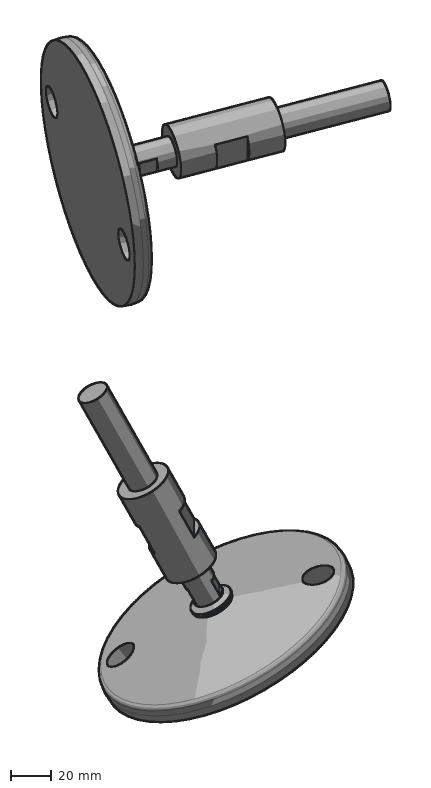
import cadquery as cq
import math

TOTAL_LENGTH = 158.0

PLATE_DIAMETER = 138.0
RIM_TAPER = 0.3
WIDEST_HEIGHT = 4.5
RIM_HEIGHT = 7.5
SHOULDER_RADIUS = 2.4
CONE_TOP_RADIUS = 10.7
PLATE_HEIGHT = 19.1
CONE_ANGLE = 9.5

HOLE_DIAMETER = 16.5
HOLE_OFFSET = 52.8

ROD_DIAMETER = 16.0
ROD_FLAT_WIDTH = 13.0
ROD_FLAT_START = 24.8
ROD_FLAT_LENGTH = 9.5
COLLAR_RADIUS = 11.2
COLLAR_EDGE_HEIGHT = 1.3
COLLAR_BAND_HEIGHT = 1.5
COLLAR_HEIGHT = 4.7

SLEEVE_DIAMETER = 28.0
SLEEVE_START = 44.5
SLEEVE_LENGTH = 55.3
SLEEVE_FLAT_WIDTH = 22.0
SLEEVE_FLAT_LENGTH = 17.0


def cylinder_y(diameter, start, length):
    """Cylinder on the Y axis, running toward +Y from start."""
    return cq.Workplane("XZ", origin=(0, start, 0)).circle(diameter / 2).extrude(-length)


def cut_flats(body, diameter, width, start, length):
    """Cut two opposite wrench flats facing -X and +X."""
    for side in (-1, 1):
        cutter = cq.Workplane("XY").box(diameter, length, 2 * diameter)
        body = body.cut(cutter.translate((side * (width + diameter) / 2, start + length / 2, 0)))
    return body


def make_plate_disc():
    """Revolve the tapered rim, rounded shoulder and cone."""
    slope = math.radians(CONE_ANGLE)
    widest_radius = PLATE_DIAMETER / 2
    rim_radius = widest_radius - RIM_TAPER
    center_radius = rim_radius - SHOULDER_RADIUS
    middle = (math.pi / 2 - slope) / 2

    def shoulder_point(angle):
        return (
            center_radius + SHOULDER_RADIUS * math.cos(angle),
            RIM_HEIGHT + SHOULDER_RADIUS * math.sin(angle),
        )

    return (
        cq.Workplane("XY")
        .lineTo(rim_radius, 0)
        .lineTo(widest_radius, WIDEST_HEIGHT)
        .lineTo(rim_radius, RIM_HEIGHT)
        .threePointArc(shoulder_point(middle), shoulder_point(2 * middle))
        .lineTo(CONE_TOP_RADIUS, PLATE_HEIGHT)
        .lineTo(0, PLATE_HEIGHT)
        .close()
        .revolve(360, (0, 0, 0), (0, 1, 0))
    )


def make_base_plate():
    """Plate with two holes that lean outward, square to the cone."""
    plate = make_plate_disc()
    for side in (-1, 1):
        hole = cylinder_y(HOLE_DIAMETER, -PLATE_HEIGHT, 3 * PLATE_HEIGHT)
        hole = hole.rotate((0, 0, 0), (0, 0, 1), -side * CONE_ANGLE)
        plate = plate.cut(hole.translate((side * HOLE_OFFSET, 0, 0)))
    return plate


def make_collar():
    """Collar resting on the plate, with a bevelled foot, a straight band and a conical top."""
    band_bottom = PLATE_HEIGHT + COLLAR_EDGE_HEIGHT
    band_top = band_bottom + COLLAR_BAND_HEIGHT
    return (
        cq.Workplane("XY")
        .moveTo(0, PLATE_HEIGHT)
        .lineTo(CONE_TOP_RADIUS, PLATE_HEIGHT)
        .lineTo(COLLAR_RADIUS, band_bottom)
        .lineTo(COLLAR_RADIUS, band_top)
        .lineTo(ROD_DIAMETER / 2, PLATE_HEIGHT + COLLAR_HEIGHT)
        .lineTo(0, PLATE_HEIGHT + COLLAR_HEIGHT)
        .close()
        .revolve(360, (0, 0, 0), (0, 1, 0))
    )


def make_sleeve_section():
    """Thick middle section with two wrench flats halfway along it."""
    sleeve = cylinder_y(SLEEVE_DIAMETER, SLEEVE_START, SLEEVE_LENGTH)
    flat_start = SLEEVE_START + (SLEEVE_LENGTH - SLEEVE_FLAT_LENGTH) / 2
    return cut_flats(sleeve, SLEEVE_DIAMETER, SLEEVE_FLAT_WIDTH, flat_start, SLEEVE_FLAT_LENGTH)


def make_spindle():
    """Rod with its collar, lower wrench flats and sleeve section."""
    rod = cylinder_y(ROD_DIAMETER, PLATE_HEIGHT, TOTAL_LENGTH - PLATE_HEIGHT)
    rod = cut_flats(rod, ROD_DIAMETER, ROD_FLAT_WIDTH, ROD_FLAT_START, ROD_FLAT_LENGTH)
    return rod.union(make_collar()).union(make_sleeve_section())


base_plate = make_base_plate()
spindle = make_spindle()

result = cq.Compound.makeCompound([base_plate.val(), spindle.val()])